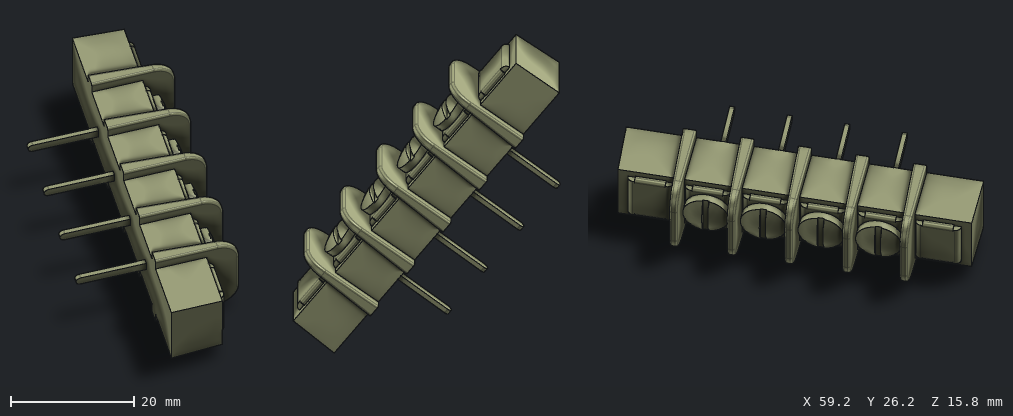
import cadquery as cq


body_length = 59.2
body_height = 11.95
body_depth = 8.7
draft_angle = 2.0

pitch = 9.5
barrier_count = 5
barrier_thickness = 2.25
barrier_height = 15.75
barrier_depth = 14.25
barrier_corner_radius = 3.8
barrier_edge_radius = 0.35

plate_count = barrier_count + 1
plate_length = 7.6
plate_height = 8.65
plate_thickness = 0.95
plate_centre_length = 5.1
plate_centre_height = 9.25
plate_centre_edge_radius = 0.6

screw_count = barrier_count - 1
screw_radius = 3.8
screw_rim_height = 1.35
screw_dome_height = 0.8
slot_width = 1.0
slot_depth = 1.0

pin_thickness = 0.8
pin_height = 1.6
pin_length = 11.9

plate_face = body_depth + plate_thickness


def row(count):
    """X positions of evenly pitched items centred on the housing."""
    return [(i - (count - 1) / 2) * pitch for i in range(count)]


def facing_front(y):
    """Workplane at depth y whose extrusions grow toward +Y."""
    return cq.Workplane(cq.Plane(origin=(0, y, 0), xDir=(1, 0, 0), normal=(0, 1, 0)))


def make_body():
    return facing_front(0).rect(body_length, body_height).extrude(body_depth, taper=draft_angle)


def make_barrier():
    blank = facing_front(0).rect(barrier_thickness, barrier_height)
    blank = blank.extrude(barrier_depth, taper=draft_angle)
    rounded = blank.faces(">Y").edges("|X").fillet(barrier_corner_radius)
    return rounded.faces(">Y").edges("|Z").fillet(barrier_edge_radius)


def make_plate():
    half_length = plate_length / 2
    flat_half_length = half_length - plate_thickness
    plate = (
        cq.Workplane("XY")
        .moveTo(-half_length, body_depth)
        .lineTo(half_length, body_depth)
        .radiusArc((flat_half_length, plate_face), -plate_thickness)
        .lineTo(-flat_half_length, plate_face)
        .radiusArc((-half_length, body_depth), -plate_thickness)
        .close()
        .extrude(plate_height / 2, both=True)
    )
    gap = facing_front(body_depth).rect(plate_centre_length, plate_height).extrude(plate_thickness)
    strip = facing_front(body_depth).rect(plate_centre_length, plate_centre_height).extrude(plate_thickness)
    strip = strip.faces(">Y").edges("|X").fillet(plate_centre_edge_radius)
    return plate.cut(gap).union(strip)


def make_screw():
    rim = plate_face + screw_rim_height
    top = rim + screw_dome_height
    dome_radius = (screw_radius**2 + screw_dome_height**2) / (2 * screw_dome_height)
    mid_x = screw_radius / 2
    mid_y = top - dome_radius + (dome_radius**2 - mid_x**2) ** 0.5
    head = (
        cq.Workplane("XY")
        .moveTo(0, plate_face)
        .lineTo(screw_radius, plate_face)
        .lineTo(screw_radius, rim)
        .threePointArc((mid_x, mid_y), (0, top))
        .close()
        .revolve(360, (0, 0), (0, 1))
    )
    slot = facing_front(top - slot_depth).rect(slot_width, 2 * screw_radius).extrude(slot_depth)
    return head.cut(slot)


def make_pin():
    tip_radius = pin_height / 2
    shank_end = tip_radius - pin_length
    shank = facing_front(shank_end).rect(pin_thickness, pin_height).extrude(-shank_end)
    tip = cq.Workplane("YZ").center(shank_end, 0).circle(tip_radius).extrude(pin_thickness / 2, both=True)
    return shank.union(tip)


result = make_body()
for feature, count in (
    (make_barrier(), barrier_count),
    (make_plate(), plate_count),
    (make_screw(), screw_count),
    (make_pin(), screw_count),
):
    for x in row(count):
        result = result.union(feature.translate((x, 0, 0)))